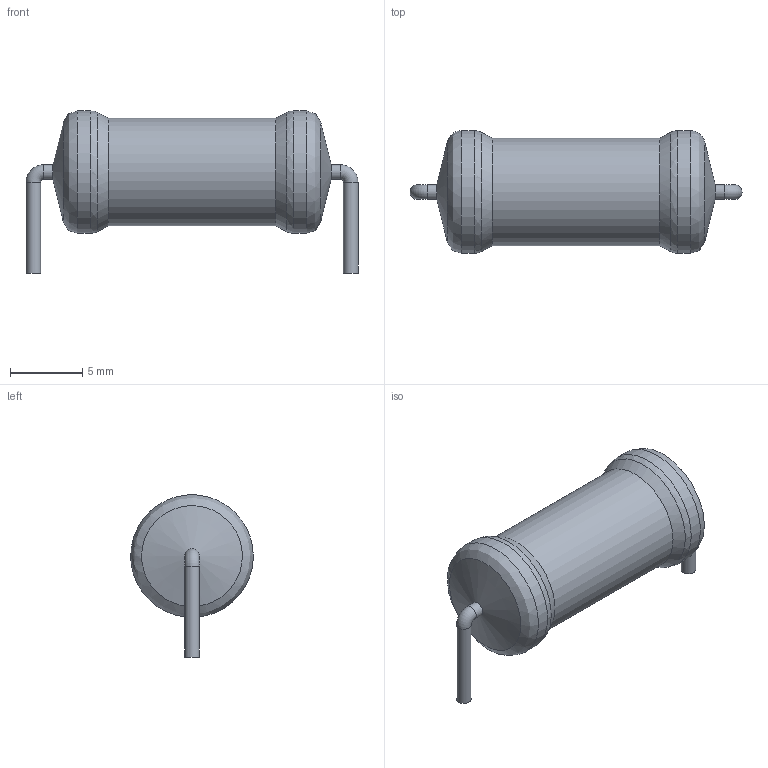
import cadquery as cq


lead_diameter = 1.01
lead_pitch = 22.0
lead_drop = 7.0
bend_radius = 0.7

barrel_diameter = 7.44
cap_diameter = 8.5
body_length = 19.3
barrel_length = 11.58
shoulder_length = 1.0
end_cone_length = 0.93
cap_edge_radius = 1.0

radius_tolerance = 0.01

lead_radius = lead_diameter / 2
barrel_radius = barrel_diameter / 2
cap_radius = cap_diameter / 2
body_end = body_length / 2
barrel_end = barrel_length / 2
cap_inner = barrel_end + shoulder_length
cap_outer = body_end - end_cone_length
lead_x = lead_pitch / 2


def make_body():
    """Barrel with two enlarged, rounded caps and conical ends."""
    body = (
        cq.Workplane("XY")
        .moveTo(-body_end, 0)
        .lineTo(-body_end, lead_radius)
        .lineTo(-cap_outer, cap_radius)
        .lineTo(-cap_inner, cap_radius)
        .lineTo(-barrel_end, barrel_radius)
        .lineTo(barrel_end, barrel_radius)
        .lineTo(cap_inner, cap_radius)
        .lineTo(cap_outer, cap_radius)
        .lineTo(body_end, lead_radius)
        .lineTo(body_end, 0)
        .close()
        .revolve(360, (0, 0, 0), (1, 0, 0))
    )
    cap_edges = [
        edge for edge in body.edges("%CIRCLE").vals()
        if abs(edge.radius() - cap_radius) < radius_tolerance
    ]
    return body.newObject(cap_edges).fillet(cap_edge_radius)


def make_lead(side):
    """Round wire from inside the body, bent down; side is -1 or +1 along X."""
    bend_start = side * (lead_x - bend_radius)
    path = (
        cq.Workplane("XZ")
        .moveTo(side * barrel_end, 0)
        .lineTo(bend_start, 0)
        .tangentArcPoint((side * lead_x, -bend_radius), relative=False)
        .lineTo(side * lead_x, -lead_drop)
    )
    return (
        cq.Workplane("YZ", origin=(side * barrel_end, 0, 0))
        .circle(lead_radius)
        .sweep(path)
    )


result = make_body()
for side in (-1, 1):
    result = result.union(make_lead(side))